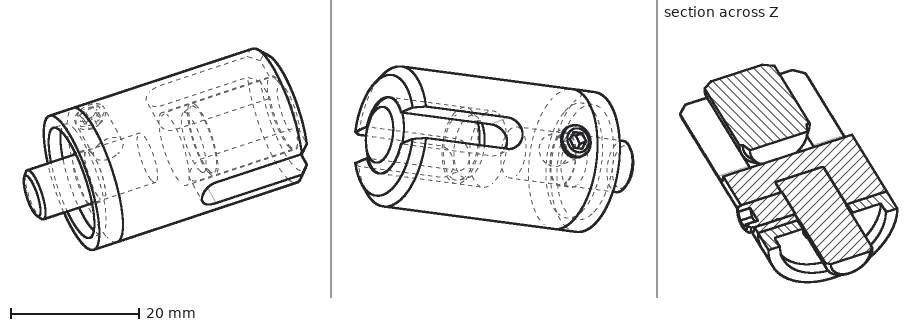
import cadquery as cq
import math

pin_length_outside = 6.7
cap_length = 4.0
housing_length = 31.95
plunger_protrusion = 0.8
cap_front = pin_length_outside
housing_front = cap_front + cap_length
housing_back = housing_front + housing_length
plunger_back = housing_back + plunger_protrusion

outer_diameter = 22.0
outer_radius = outer_diameter / 2
housing_chamfer = 1.5
slot_width = 5.05
slot_end = 24.05

recess_radius = 9.05
recess_depth = 2.0
cap_hole_radius = 4.2

pin_radius = 4.05
pin_tip_length = 0.55
pin_tip_inset = 0.7
pin_inner_end = 19.55

plunger_radius = 6.0
plunger_front = 27.4
plunger_tip_length = 1.5
plunger_tip_base_radius = 5.45
plunger_tip_end_radius = 4.9
plunger_nose_length = 1.0
plunger_nose_radius = 4.4

screw_y = 14.67
screw_radius = 2.5
screw_protrusion = 0.9
screw_chamfer_length = 0.45
screw_chamfer_inset = 0.6
hex_across_flats = 2.5
hex_depth = 2.0
screw_head_x = -(outer_radius + screw_protrusion)
screw_length = outer_radius + screw_protrusion - pin_radius


def cylinder_y(radius, start, end):
    """Cylinder on the Y axis between two Y positions."""
    return cq.Workplane("XZ", origin=(0, start, 0)).circle(radius).extrude(start - end)


def cylinder_x(radius, length):
    """Cylinder running inwards along +X from the set screw head."""
    return cq.Workplane("YZ", origin=(screw_head_x, screw_y, 0)).circle(radius).extrude(length)


def make_slot_cutter():
    """Round-ended slot across the full diameter, open at the back."""
    half_width = slot_width / 2
    arc_center = slot_end + half_width
    return (
        cq.Workplane("YZ")
        .moveTo(plunger_back, -half_width)
        .lineTo(arc_center, -half_width)
        .threePointArc((slot_end, 0), (arc_center, half_width))
        .lineTo(plunger_back, half_width)
        .close()
        .extrude(outer_radius, both=True)
    )


def make_housing():
    body = cylinder_y(outer_radius, housing_front, housing_back)
    body = body.faces(">Y").chamfer(housing_chamfer)
    body = body.cut(cylinder_y(pin_radius, housing_front, pin_inner_end))
    body = body.cut(cylinder_y(plunger_radius, slot_end, housing_back))
    body = body.cut(make_slot_cutter())
    return body.cut(cylinder_x(screw_radius, screw_length).cut(make_pin()))


def make_cap():
    body = cylinder_y(outer_radius, cap_front, housing_front)
    body = body.cut(cylinder_y(recess_radius, cap_front, cap_front + recess_depth))
    return body.cut(cylinder_y(cap_hole_radius, cap_front, housing_front))


def make_pin():
    return cylinder_y(pin_radius, 0, pin_inner_end).faces("<Y").chamfer(pin_tip_length, pin_tip_inset)


def make_plunger():
    tip_base = plunger_front + plunger_tip_length
    nose_base = plunger_back - plunger_nose_length
    profile = [
        (0, plunger_front),
        (plunger_tip_end_radius, plunger_front),
        (plunger_tip_base_radius, tip_base),
        (plunger_radius, tip_base),
        (plunger_radius, nose_base),
        (plunger_nose_radius, plunger_back),
        (0, plunger_back),
    ]
    return cq.Workplane("XY").polyline(profile).close().revolve(360, (0, 0, 0), (0, 1, 0))


def make_set_screw():
    body = cylinder_x(screw_radius, screw_length)
    body = body.faces("<X").chamfer(screw_chamfer_length, screw_chamfer_inset)
    socket = (
        cq.Workplane("YZ", origin=(screw_head_x, screw_y, 0))
        .polygon(6, hex_across_flats / math.cos(math.pi / 6))
        .extrude(hex_depth)
    )
    return body.cut(socket)


housing = make_housing()
cap = make_cap()
pin = make_pin()
plunger = make_plunger()
set_screw = make_set_screw()

result = cq.Compound.makeCompound(
    [housing.val(), cap.val(), pin.val(), plunger.val(), set_screw.val()]
)